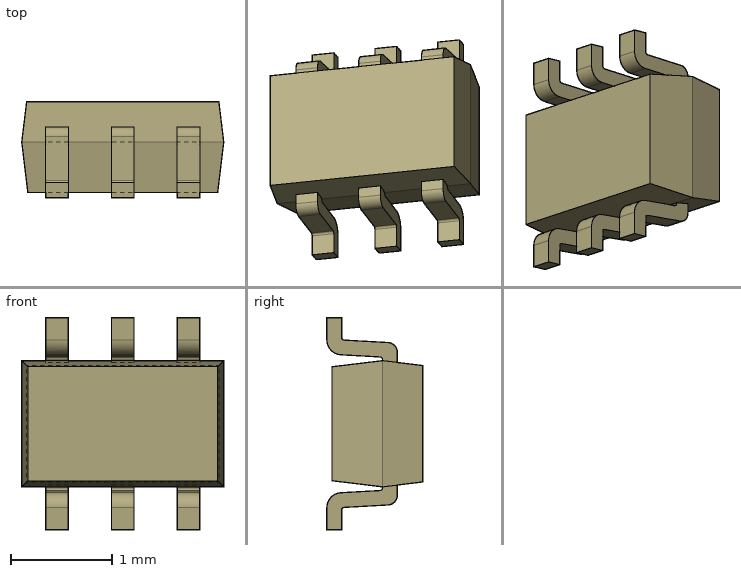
import cadquery as cq
import math


housing_width = 2.0
housing_height = 1.25
front_depth = 0.5
back_depth = 0.4
draft_angle = 6.9

overall_height = 2.1
standoff = 0.05
lead_thickness = 0.15
lead_width = 0.225
lead_pitch = 0.649
leads_per_side = 3
foot_length = 0.22
arm_angle = 3.2
inner_bend_radius = 0.023
foot_bend_radius = 0.15
root_bend_radius = 0.1


def make_housing():
    front_half = (
        cq.Workplane("XZ")
        .rect(housing_width, housing_height)
        .extrude(front_depth, taper=draft_angle)
    )
    back_half = (
        cq.Workplane("XZ")
        .rect(housing_width, housing_height)
        .extrude(-back_depth, taper=draft_angle)
    )
    return front_half.union(back_half)


def make_top_lead(x_center):
    """Gull-wing lead that ends flush on the drafted top side of the housing's back half."""
    foot_tip_z = overall_height / 2
    foot_outer_y = -(front_depth + standoff)
    foot_inner_y = foot_outer_y + lead_thickness
    root_inner_y = 0.0
    root_outer_y = root_inner_y + lead_thickness

    arm_slope = math.tan(math.radians(arm_angle))
    arm_thickness_z = lead_thickness / math.cos(math.radians(arm_angle))
    arm_outer_start_z = foot_tip_z - foot_length

    def arm_outer_z(y):
        return arm_outer_start_z - arm_slope * (y - foot_inner_y)

    def arm_inner_z(y):
        return arm_outer_z(y) - arm_thickness_z

    def housing_side_z(y):
        return housing_height / 2 - y * math.tan(math.radians(draft_angle))

    foot_inside_corner = (foot_inner_y, arm_outer_z(foot_inner_y))
    foot_outside_corner = (foot_outer_y, arm_inner_z(foot_outer_y))
    root_inside_corner = (root_inner_y, arm_inner_z(root_inner_y))
    root_outside_corner = (root_outer_y, arm_outer_z(root_outer_y))

    lead = (
        cq.Workplane("YZ", origin=(x_center, 0, 0))
        .polyline([
            (foot_outer_y, foot_tip_z),
            (foot_inner_y, foot_tip_z),
            foot_inside_corner,
            root_outside_corner,
            (root_outer_y, housing_side_z(root_outer_y)),
            (root_inner_y, housing_side_z(root_inner_y)),
            root_inside_corner,
            foot_outside_corner,
        ])
        .close()
        .extrude(lead_width / 2, both=True)
    )

    bends = [
        (foot_inside_corner, inner_bend_radius),
        (root_inside_corner, inner_bend_radius),
        (foot_outside_corner, foot_bend_radius),
        (root_outside_corner, root_bend_radius),
    ]
    for (y, z), radius in bends:
        bend_edge = cq.selectors.NearestToPointSelector((x_center, y, z))
        lead = lead.edges("|X").edges(bend_edge).fillet(radius)
    return lead


housing = make_housing()

leads = []
for index in range(leads_per_side):
    x_center = (index - (leads_per_side - 1) / 2) * lead_pitch
    top_lead = make_top_lead(x_center)
    bottom_lead = top_lead.mirror("XY")
    leads.append(top_lead.val())
    leads.append(bottom_lead.val())

result = cq.Compound.makeCompound([housing.val(), *leads])